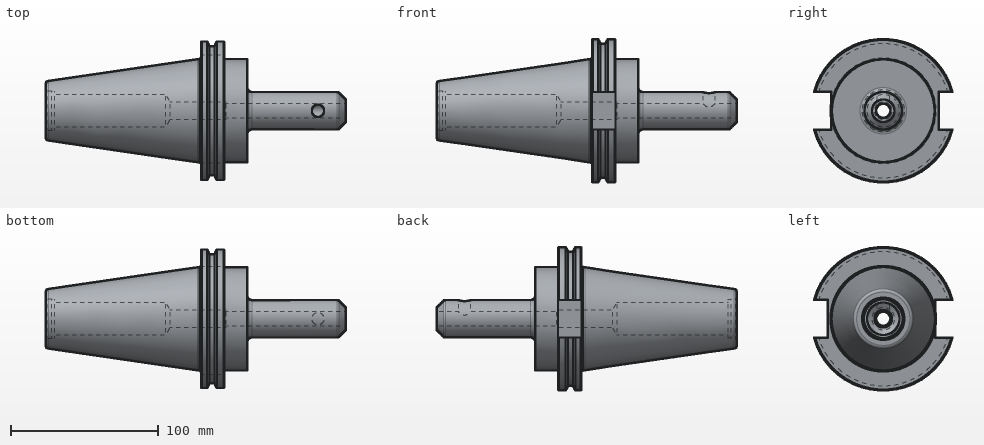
import cadquery as cq
import math

total_length = 203.2
taper_end = 102.6
flange_start = 105.0
flange_end = 121.0
collar_end = 136.5

gauge_diameter = 70.0
taper_ratio = 7 / 24
nose_radius = 2.2
flange_root_diameter = 71.5
flange_root_length = 1.0

flange_diameter = 97.1
flange_chamfer = 0.6
groove_diameter = 91.0
groove_center = 112.5
groove_top_width = 6.5
groove_floor_width = 3.3

slot_width = 25.5
front_slot_floor = 35.4
back_slot_floor = 37.5

collar_diameter = 70.1
collar_chamfer = 0.5
shank_diameter = 25.5
shank_root_radius = 3.0
tip_chamfer = 5.0
tip_blend_radius = 2.0
tip_edge_reach = 1.0

mouth_diameter = 28.7
mouth_chamfer = 1.0
counterbore_diameter = 26.6
counterbore_depth = 4.0
thread_diameter = 26.2
thread_depth = 6.0
bore_diameter = 22.0
bore_depth = 81.3
inner_bore_diameter = 12.0
drill_point_angle = 118
inner_bore_end = 122.0
through_diameter = 9.5

cross_hole_diameter = 8.3
cross_hole_x = 184.3


def revolve_profile(points):
    """Revolve a closed (x, radius) outline about the X axis."""
    outline = cq.Workplane("XY").polyline(points).close()
    return outline.revolve(360, (0, 0, 0), (1, 0, 0))


def make_taper():
    gauge_radius = gauge_diameter / 2
    small_radius = gauge_radius - taper_end * taper_ratio / 2
    body = revolve_profile([
        (0, 0),
        (0, small_radius),
        (taper_end, gauge_radius),
        (flange_start - flange_root_length, gauge_radius),
        (flange_start, flange_root_diameter / 2),
        (flange_start, 0),
    ])
    return body.faces("<X").edges().fillet(nose_radius)


def make_flange():
    rim = flange_diameter / 2
    shoulder = rim - flange_chamfer
    floor = groove_diameter / 2
    half_top = groove_top_width / 2
    half_floor = groove_floor_width / 2
    flange = revolve_profile([
        (flange_start, 0),
        (flange_start, shoulder),
        (flange_start + flange_chamfer, rim),
        (groove_center - half_top, rim),
        (groove_center - half_floor, floor),
        (groove_center + half_floor, floor),
        (groove_center + half_top, rim),
        (flange_end - flange_chamfer, rim),
        (flange_end, shoulder),
        (flange_end, 0),
    ])
    for side, slot_floor in ((-1, front_slot_floor), (1, back_slot_floor)):
        slot_depth = rim - slot_floor
        slot = cq.Workplane("XY").box(flange_end - flange_start, slot_depth, slot_width)
        slot_x = (flange_start + flange_end) / 2
        slot_y = side * (slot_floor + slot_depth / 2)
        flange = flange.cut(slot.translate((slot_x, slot_y, 0)))
    return flange


def make_collar_and_shank():
    collar_radius = collar_diameter / 2
    shank_radius = shank_diameter / 2
    root_radius = shank_radius + shank_root_radius
    root_end = collar_end + shank_root_radius
    arc_offset = shank_root_radius * (1 - math.sqrt(0.5))
    profile = (
        cq.Workplane("XY")
        .moveTo(flange_end, 0)
        .lineTo(flange_end, collar_radius)
        .lineTo(collar_end - collar_chamfer, collar_radius)
        .lineTo(collar_end, collar_radius - collar_chamfer)
        .lineTo(collar_end, root_radius)
        .threePointArc((collar_end + arc_offset, shank_radius + arc_offset), (root_end, shank_radius))
        .lineTo(total_length - tip_chamfer, shank_radius)
        .lineTo(total_length, shank_radius - tip_chamfer)
        .lineTo(total_length, 0)
        .close()
    )
    shank = profile.revolve(360, (0, 0, 0), (1, 0, 0))
    tip_edge = cq.selectors.BoxSelector(
        (total_length - tip_chamfer - tip_edge_reach, -collar_radius, -collar_radius),
        (total_length - tip_chamfer + tip_edge_reach, collar_radius, collar_radius),
    )
    return shank.edges("%CIRCLE").edges(tip_edge).fillet(tip_blend_radius)


def make_bore():
    drill_point_length = (
        (bore_diameter - inner_bore_diameter) / 2 / math.tan(math.radians(drill_point_angle / 2))
    )
    return revolve_profile([
        (0, 0),
        (0, mouth_diameter / 2),
        (mouth_chamfer, counterbore_diameter / 2),
        (counterbore_depth, counterbore_diameter / 2),
        (counterbore_depth, thread_diameter / 2),
        (thread_depth, thread_diameter / 2),
        (thread_depth, bore_diameter / 2),
        (bore_depth, bore_diameter / 2),
        (bore_depth + drill_point_length, inner_bore_diameter / 2),
        (inner_bore_end, inner_bore_diameter / 2),
        (inner_bore_end, through_diameter / 2),
        (total_length, through_diameter / 2),
        (total_length, 0),
    ])


def make_cross_hole():
    """Radial hole from the top of the shank down to the central bore."""
    return (
        cq.Workplane("XY")
        .center(cross_hole_x, 0)
        .circle(cross_hole_diameter / 2)
        .extrude(shank_diameter / 2)
    )


body = make_taper().union(make_flange()).union(make_collar_and_shank())
result = body.cut(make_bore()).cut(make_cross_hole())